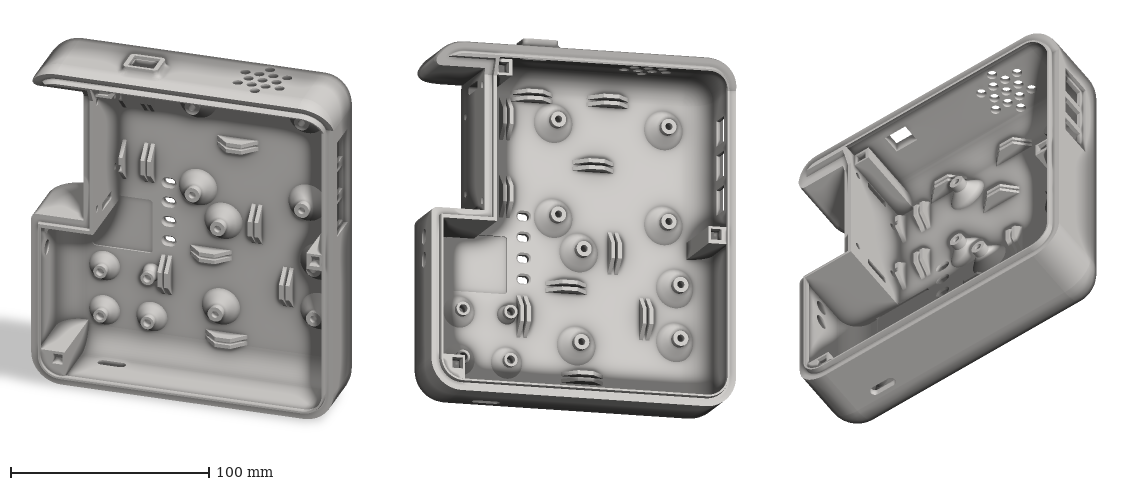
import cadquery as cq
import math


WIDTH = 160.0
HEIGHT = 180.0
EDGE_RADIUS = 16.0
FLAT_DEPTH = 43.6
FULL_DEPTH = FLAT_DEPTH + EDGE_RADIUS
WALL = 4.0
RIM_ANGLE = 30.0
RIM_BEND_Z = HEIGHT - EDGE_RADIUS

LIP_THICKNESS = 1.0
LIP_HEIGHT = 3.0
NOTCH_LIP_INSET = 4.0
LIP_OVERLAP = 1.0

NOTCH_WIDTH = 27.8
NOTCH_BOTTOM = 93.8
NOTCH_TOP = 166.9
NOTCH_ROUND = 3.0
NOTCH_WALL = 5.9

FRAME_TOP = 184.0
FRAME_X = 57.5
FRAME_DEPTH = 36.6
FRAME_SIZE = (18.4, 15.0)
FRAME_CORNER = 2.2
FRAME_FLARE = 3.0
FRAME_POCKET = (13.6, 11.5)
FRAME_LEDGE_Z = 182.2
FRAME_LEDGE = 0.5

GRILLE_X = 118.1
GRILLE_DEPTH = 30.2
GRILLE_PITCH = 7.4
GRILLE_ROW_STEP = 6.3
GRILLE_HOLE = 5.2
GRILLE_ROWS = (1, 4, 3, 4, 1)

CABLE_SLOT_LENGTH = 15.8
CABLE_SLOT_HEIGHT = 4.5
CABLE_SLOT_DEPTH = 23.7
CABLE_SLOT_Z = (96.5, 161.4)
CABLE_SLOT_CORNER = 1.3
SCREW_HOLE = 3.7
SCREW_HOLES = ((40.1, 159.5), (40.1, 99.5), (10.1, 149.5), (10.1, 109.5))
LED_HOLE = 8.0
LED_DEPTH = 30.4
LED_Z = (69.2, 81.1)

WINDOW_DEPTH = 29.0
WINDOW_WIDTH = 13.6
WINDOW_HEIGHT = 13.0
WINDOW_PITCH = 17.8
WINDOW_FIRST_Z = 110.4
WINDOW_COUNT = 3
WINDOW_WEB = 2.0
WINDOW_MARGIN = 2.0

CHARGE_X = 35.3
CHARGE_DEPTH = 21.0
CHARGE_LENGTH = 14.7
CHARGE_WIDTH = 5.0

VENT_X = 60.2
VENT_FIRST_Z = 68.8
VENT_PITCH = 10.9
VENT_COUNT = 4
VENT_LENGTH = 6.0
VENT_WIDTH = 4.0
VENT_CHAMFER = 1.0
RECESS_X = (19.7, 51.5)
RECESS_Z = (60.5, 90.3)
RECESS_CUT = 1.0
RECESS_CORNER = 1.8

LARGE_HEIGHTS = (6.0, 10.0)
LARGE_CONE = 20.2
LARGE_BOSS = 8.0
LARGE_HOLE = 3.7
LARGE_SPOTS = (
    (75.6, 150.5), (133.5, 150.5), (75.6, 101.4), (133.5, 101.4),
    (89.0, 84.5), (139.8, 69.2), (139.8, 41.4), (87.8, 36.2),
)
SMALL_HEIGHTS = (4.6, 8.0)
SMALL_CONE = 16.4
SMALL_BOSS = 7.0
SMALL_HOLE = 4.2
SMALL_SPOTS = ((26.1, 49.9), (26.1, 25.0), (51.2, 25.0))
NARROW_CONE = 10.0
NARROW_SPOT = (51.2, 49.9)

FIN_LENGTH = 22.0
FIN_HEIGHT = 7.0
FIN_THICKNESS = 2.0
FIN_PITCH = 3.5
LEVEL_PAIRS = ((64.2, 163.2), (104.3, 163.2), (96.6, 129.4), (82.5, 65.7), (90.7, 19.3))
UPRIGHT_PAIRS = ((50.0, 151.2), (50.0, 111.1), (106.9, 85.4), (123.5, 52.5), (59.0, 49.7))
UPRIGHT_SINGLES = ((36.8, 151.2), (36.8, 111.1))

POST_HOLE = 5.5
POSTS = (
    (33.1, 42.5, 164.3, 172.8, 37.9, 168.4),
    (145.7, 156.4, 84.5, 93.3, 149.8, 89.2),
    (3.7, 17.7, 3.7, 18.2, 13.8, 14.0),
)
POST_HOLE_CUT = 7.4

CUT = 3.7


def back_plane(depth=0.0):
    """Plane parallel to the back wall: local axes X and Z, normal toward the opening."""
    return cq.Workplane("XZ").workplane(offset=depth)


def block(x, depth, z):
    """Box between the given (low, high) limits."""
    return (
        back_plane(depth[0])
        .center((x[0] + x[1]) / 2, (z[0] + z[1]) / 2)
        .rect(x[1] - x[0], z[1] - z[0])
        .extrude(depth[1] - depth[0])
    )


def notch(inset):
    """Block that cuts the notch, grown by inset into the case."""
    return block(
        (-CUT, NOTCH_WIDTH + inset),
        (-CUT, FULL_DEPTH + CUT),
        (NOTCH_BOTTOM - inset, NOTCH_TOP + inset),
    )


def rounded_block(inset):
    """Fully rounded block, shrunk by inset on every side."""
    body = block((inset, WIDTH - inset), (inset, FULL_DEPTH - inset), (inset, HEIGHT - inset))
    return body.edges().fillet(EDGE_RADIUS - inset)


def behind_rim(raise_by):
    """Everything behind the bent rim surface, moved out along its normal by raise_by."""
    lean = math.radians(RIM_ANGLE)
    depth = FLAT_DEPTH + raise_by
    bend_z = RIM_BEND_Z - raise_by * math.tan(lean / 2)
    top = HEIGHT + EDGE_RADIUS
    points = [
        (EDGE_RADIUS, -CUT),
        (-depth, -CUT),
        (-depth, bend_z),
        (-depth - (top - bend_z) * math.tan(lean), top),
        (EDGE_RADIUS, top),
    ]
    return cq.Workplane("YZ").workplane(offset=-CUT).polyline(points).close().extrude(WIDTH + 2 * CUT)


def outer_body():
    """Solid outside form: the rounded block with its notch, the notch edges rounded."""
    body = rounded_block(0).cut(notch(0))
    low = (-CUT, -FULL_DEPTH - CUT, NOTCH_BOTTOM - CUT)
    high = (NOTCH_WIDTH + CUT, CUT, NOTCH_TOP + CUT)
    notch_faces = body.faces(cq.selectors.BoxSelector(low, high, boundingbox=True))
    return notch_faces.edges("not |Y").fillet(NOTCH_ROUND)


def shell():
    """Hollow case with a thin lip lining its rim and standing out in front of it."""
    cavity = rounded_block(WALL).cut(notch(NOTCH_WALL))
    lip = rounded_block(WALL).cut(notch(NOTCH_LIP_INSET))
    lip = lip.cut(rounded_block(WALL + LIP_THICKNESS).cut(notch(NOTCH_WALL)))
    lip = lip.intersect(behind_rim(LIP_HEIGHT)).cut(behind_rim(-LIP_OVERLAP))
    return add_frame(outer_body()).intersect(behind_rim(0)).cut(cavity).union(lip)


def frame_prism(size, low_z, high_z):
    """Upright prism centred on the button frame."""
    return (
        cq.Workplane("XY", origin=(FRAME_X, -FRAME_DEPTH, low_z))
        .rect(*size)
        .extrude(high_z - low_z)
    )


def add_frame(body):
    """Raised button frame, flared into the top face."""
    frame = frame_prism(FRAME_SIZE, HEIGHT - WALL, FRAME_TOP).edges("|Z").fillet(FRAME_CORNER)
    body = body.union(frame)
    low = (FRAME_X - FRAME_SIZE[0], -FRAME_DEPTH - FRAME_SIZE[1], HEIGHT - CUT)
    high = (FRAME_X + FRAME_SIZE[0], -FRAME_DEPTH + FRAME_SIZE[1], FRAME_TOP)
    foot = body.edges(cq.selectors.BoxSelector(low, high, boundingbox=True))
    foot = foot.edges(cq.selectors.BoxSelector(low, (high[0], high[1], HEIGHT + FRAME_FLARE / 2)))
    foot = foot.edges("not |Z")
    return foot.fillet(FRAME_FLARE)


def frame_opening():
    """Pocket in the button frame with a narrow ledge below its mouth."""
    ledge_size = tuple(side - 2 * FRAME_LEDGE for side in FRAME_POCKET)
    mouth = frame_prism(FRAME_POCKET, FRAME_LEDGE_Z, FRAME_TOP)
    return mouth.union(frame_prism(ledge_size, HEIGHT - WALL - CUT, FRAME_TOP))


def grille_holes():
    """Star of round holes through the top wall."""
    middle_row = len(GRILLE_ROWS) // 2
    spots = []
    for row, count in enumerate(GRILLE_ROWS):
        y = -GRILLE_DEPTH - (row - middle_row) * GRILLE_ROW_STEP
        for column in range(count):
            spots.append((GRILLE_X + (column - (count - 1) / 2) * GRILLE_PITCH, y))
    plane = cq.Workplane("XY").workplane(offset=HEIGHT - WALL - CUT)
    return plane.pushPoints(spots).circle(GRILLE_HOLE / 2).extrude(WALL + 2 * CUT)


def notch_wall_openings():
    """Cable slots and screw holes through the wall at the inner end of the notch."""
    plane = cq.Workplane("YZ").workplane(offset=NOTCH_WIDTH - CUT)
    reach = NOTCH_WALL + 2 * CUT
    slots = (
        plane.pushPoints([(-CABLE_SLOT_DEPTH, z) for z in CABLE_SLOT_Z])
        .rect(CABLE_SLOT_LENGTH, CABLE_SLOT_HEIGHT)
        .extrude(reach)
        .edges("|X")
        .fillet(CABLE_SLOT_CORNER)
    )
    holes = plane.pushPoints([(-depth, z) for depth, z in SCREW_HOLES]).circle(SCREW_HOLE / 2)
    return slots.union(holes.extrude(reach))


def led_holes():
    """Two round holes through the left wall."""
    plane = cq.Workplane("YZ").workplane(offset=-CUT)
    spots = [(-LED_DEPTH, z) for z in LED_Z]
    return plane.pushPoints(spots).circle(LED_HOLE / 2).extrude(WALL + 2 * CUT)


def window_openings():
    """Connector windows through the right wall, with one recess outside them."""
    depth = (WINDOW_DEPTH - WINDOW_WIDTH / 2, WINDOW_DEPTH + WINDOW_WIDTH / 2)
    top_z = WINDOW_FIRST_Z + (WINDOW_COUNT - 1) * WINDOW_PITCH
    around = WINDOW_HEIGHT / 2 + WINDOW_MARGIN
    openings = block(
        (WIDTH - WALL + WINDOW_WEB, WIDTH + CUT),
        (depth[0] - WINDOW_MARGIN, depth[1] + WINDOW_MARGIN),
        (WINDOW_FIRST_Z - around, top_z + around),
    )
    for index in range(WINDOW_COUNT):
        z = WINDOW_FIRST_Z + index * WINDOW_PITCH
        z_limits = (z - WINDOW_HEIGHT / 2, z + WINDOW_HEIGHT / 2)
        openings = openings.union(block((WIDTH - WALL - CUT, WIDTH + CUT), depth, z_limits))
    return openings


def charge_slot():
    """Slot through the underside."""
    plane = cq.Workplane("XY", origin=(CHARGE_X, -CHARGE_DEPTH, -CUT))
    return plane.slot2D(CHARGE_LENGTH, CHARGE_WIDTH).extrude(WALL + 2 * CUT)


def indicator_slots():
    """Column of slots through the back wall, countersunk on the inside."""
    slots = cq.Workplane("XY")
    for index in range(VENT_COUNT):
        z = VENT_FIRST_Z + index * VENT_PITCH
        through = back_plane(-CUT).center(VENT_X, z).slot2D(VENT_LENGTH, VENT_WIDTH)
        flare = (
            back_plane(WALL)
            .center(VENT_X, z)
            .slot2D(VENT_LENGTH + 2 * VENT_CHAMFER, VENT_WIDTH + 2 * VENT_CHAMFER)
            .extrude(-VENT_CHAMFER, taper=45)
        )
        slots = slots.union(through.extrude(WALL + 2 * CUT)).union(flare)
    return slots


def back_recess():
    """Shallow rounded rectangle sunk into the inside of the back wall."""
    recess = block(RECESS_X, (WALL - RECESS_CUT, WALL + RECESS_CUT), RECESS_Z)
    return recess.edges("|Y").fillet(RECESS_CORNER)


def standoff(spot, heights, cone, boss, hole):
    """Cone on the back wall ending in a cylindrical boss with a blind hole."""
    x, z = spot
    cone_top, boss_top = heights
    profile = [
        (0, WALL / 2),
        (cone / 2, WALL / 2),
        (cone / 2, WALL),
        (boss / 2, WALL + cone_top),
        (boss / 2, WALL + boss_top),
        (hole / 2, WALL + boss_top),
        (hole / 2, WALL),
        (0, WALL),
    ]
    turned = cq.Workplane("XY").polyline(profile).close().revolve(360, (0, 0, 0), (0, 1, 0))
    return turned.rotate((0, 0, 0), (0, 0, 1), 180).translate((x, 0, z))


def standoffs():
    """All standoffs of the back wall."""
    parts = standoff(NARROW_SPOT, SMALL_HEIGHTS, NARROW_CONE, SMALL_BOSS, SMALL_HOLE)
    for spot in LARGE_SPOTS:
        parts = parts.union(standoff(spot, LARGE_HEIGHTS, LARGE_CONE, LARGE_BOSS, LARGE_HOLE))
    for spot in SMALL_SPOTS:
        parts = parts.union(standoff(spot, SMALL_HEIGHTS, SMALL_CONE, SMALL_BOSS, SMALL_HOLE))
    return parts


def fin(spot, upright):
    """Trapezoid fin standing on the back wall, its ends sloped at 45 degrees."""
    x, z = spot
    half = FIN_LENGTH / 2
    profile = [
        (-half, -WALL / 2),
        (-half, -WALL),
        (-half + FIN_HEIGHT, -WALL - FIN_HEIGHT),
        (half - FIN_HEIGHT, -WALL - FIN_HEIGHT),
        (half, -WALL),
        (half, -WALL / 2),
    ]
    level = cq.Workplane("XY").polyline(profile).close().extrude(FIN_THICKNESS / 2, both=True)
    if upright:
        level = level.rotate((0, 0, 0), (0, 1, 0), 90)
    return level.translate((x, 0, z))


def fins():
    """All cable fins, in pairs and single."""
    offsets = (-FIN_PITCH / 2, FIN_PITCH / 2)
    parts = cq.Workplane("XY")
    for x, z in LEVEL_PAIRS:
        for offset in offsets:
            parts = parts.union(fin((x, z + offset), upright=False))
    for x, z in UPRIGHT_PAIRS:
        for offset in offsets:
            parts = parts.union(fin((x + offset, z), upright=True))
    for spot in UPRIGHT_SINGLES:
        parts = parts.union(fin(spot, upright=True))
    return parts


def posts():
    """Square closing posts from the back wall to the rim, each with a blind square hole."""
    parts = cq.Workplane("XY")
    for left, right, bottom, top, hole_x, hole_z in POSTS:
        post = block((left, right), (WALL / 2, FLAT_DEPTH), (bottom, top))
        hole = back_plane(FLAT_DEPTH - POST_HOLE_CUT).center(hole_x, hole_z).rect(POST_HOLE, POST_HOLE)
        parts = parts.union(post.cut(hole.extrude(POST_HOLE_CUT)))
    return parts.intersect(rounded_block(WALL / 2))


result = shell()
result = result.cut(back_recess()).union(fins()).union(standoffs()).union(posts())
for opening in (
    frame_opening(),
    grille_holes(),
    notch_wall_openings(),
    led_holes(),
    window_openings(),
    charge_slot(),
    indicator_slots(),
):
    result = result.cut(opening)